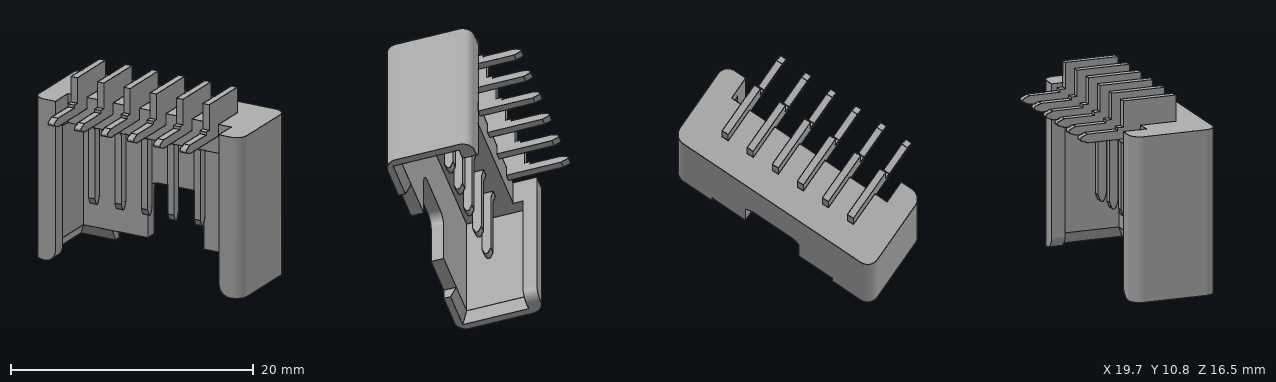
import cadquery as cq

body_width = 19.7
body_depth = 7.5
body_height = 14.2
corner_radius = 1.0
center_x = body_width / 2

wall = 1.1
lip_width = 2.1
lip_depth = 1.2
lip_bottom_radius = 1.0
roof_thickness = 2.55
roof_setback = 2.05
roof_bottom = body_height - roof_thickness
cavity_back = body_depth - wall

lead_in_height = 1.0
lead_in_depth = 0.5

opening_width = 5.3
opening_height = 6.0
opening_radius = 1.0
foot_end = 3.85
foot_height = 1.0

pin_count = 6
pin_pitch = 2.5
pin_width = 0.6
pin_size = 0.75
blade_front = 0.5
blade_back = 5.2
blade_top = 16.45
step_front = 0.0
tail_end = -3.3
tail_top = 13.95
leg_back = 4.15
leg_end = 4.2
leg_slope_height = 0.75
leg_slope_depth = 0.2

tip_length = 0.6
nose_length = 0.1
nose_half = 0.17
nose_radius = 0.19


def box(x0, x1, y0, y1, z0, z1):
    """Box between the given coordinates."""
    return cq.Workplane("XY").box(x1 - x0, y1 - y0, z1 - z0, centered=False).translate((x0, y0, z0))


def make_cavity():
    """Space below the roof, flared at the bottom and narrowed between the front lips."""
    chamber = box(wall, body_width - wall, lip_depth, cavity_back, 0, roof_bottom)
    flare = (
        cq.Workplane("XY")
        .workplane(offset=lead_in_height)
        .center(center_x, (lip_depth + cavity_back) / 2)
        .rect(body_width - 2 * wall, cavity_back - lip_depth)
        .workplane(offset=-lead_in_height)
        .rect(body_width - 2 * wall + 2 * lead_in_depth, cavity_back - lip_depth + 2 * lead_in_depth)
        .loft(ruled=True)
    )
    behind_lips = box(0, body_width, lip_depth, body_depth, 0, lead_in_height)
    return chamber.union(flare.intersect(behind_lips))


def make_mouth():
    """Gap between the lips, flared by the rounding at the bottom of each lip."""
    left = lip_width
    right = body_width - lip_width
    radius = lip_bottom_radius
    return (
        cq.Workplane("XZ")
        .moveTo(left - radius, 0)
        .radiusArc((left, radius), -radius)
        .lineTo(left, roof_bottom)
        .lineTo(right, roof_bottom)
        .lineTo(right, radius)
        .radiusArc((right + radius, 0), -radius)
        .close()
        .extrude(-lip_depth)
    )


def make_opening():
    """Round-cornered opening through the back wall."""
    return (
        box(center_x - opening_width / 2, center_x + opening_width / 2, lip_depth, body_depth, 0, opening_height)
        .edges("|Y and >Z")
        .fillet(opening_radius)
    )


def make_housing():
    housing = box(0, body_width, 0, body_depth, 0, body_height).edges("|Z").fillet(corner_radius)
    housing = housing.cut(make_cavity()).cut(make_mouth())
    roof_relief = box(lip_width, body_width - lip_width, 0, roof_setback, 0, body_height)
    housing = housing.cut(roof_relief).cut(make_opening())
    between_feet = box(foot_end, body_width - foot_end, lip_depth, body_depth, 0, foot_height)
    return housing.cut(between_feet)


def make_pin(x):
    """Upright blade with a tail to the front and a leg down into the cavity, centred on x."""
    tail_bottom = tail_top - pin_size
    tail_axis = tail_top - pin_size / 2
    tail_taper = tail_end + tip_length
    tail_nose = tail_end + nose_length
    leg_front = leg_back - pin_size
    leg_axis = leg_back - pin_size / 2
    leg_taper = leg_end + tip_length
    leg_nose = leg_end + nose_length
    return (
        cq.Workplane("YZ")
        .workplane(offset=x - pin_width / 2)
        .moveTo(blade_back, blade_top)
        .lineTo(blade_front, blade_top)
        .lineTo(blade_front, body_height)
        .lineTo(step_front, body_height)
        .lineTo(step_front, tail_top)
        .lineTo(tail_taper, tail_top)
        .lineTo(tail_nose, tail_axis + nose_half)
        .radiusArc((tail_end, tail_axis), -nose_radius)
        .radiusArc((tail_nose, tail_axis - nose_half), -nose_radius)
        .lineTo(tail_taper, tail_bottom)
        .lineTo(leg_front - leg_slope_depth, tail_bottom)
        .lineTo(leg_front - leg_slope_depth, roof_bottom)
        .lineTo(leg_front, roof_bottom - leg_slope_height)
        .lineTo(leg_front, leg_taper)
        .lineTo(leg_axis - nose_half, leg_nose)
        .radiusArc((leg_axis, leg_end), -nose_radius)
        .radiusArc((leg_axis + nose_half, leg_nose), -nose_radius)
        .lineTo(leg_back, leg_taper)
        .lineTo(leg_back, tail_bottom)
        .lineTo(blade_back, tail_bottom)
        .close()
        .extrude(pin_width)
    )


result = make_housing()
first_pin_x = center_x - pin_pitch * (pin_count - 1) / 2
for index in range(pin_count):
    result = result.union(make_pin(first_pin_x + index * pin_pitch))